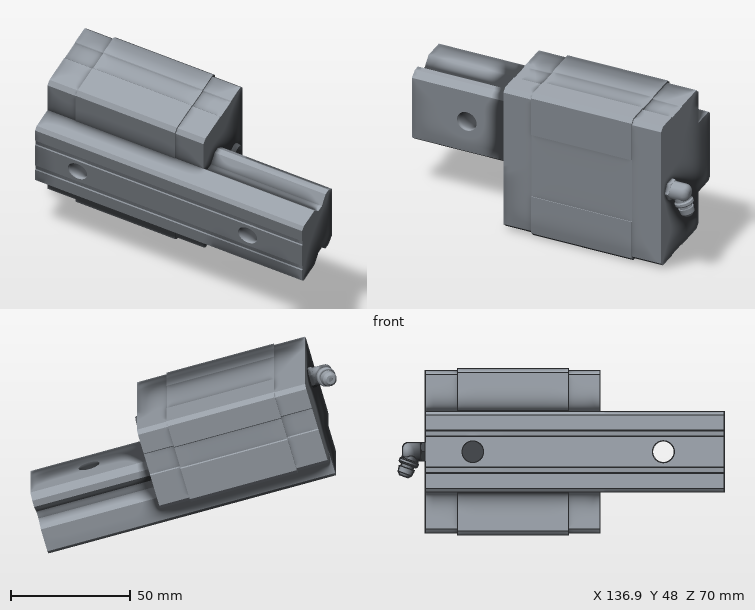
import cadquery as cq
import math


groove_depth = 0.4

rail_length = 125.6
rail_half_width = 17.0
rail_height = 27.7
rail_foot_chamfer = 1.5
flank_bottom = 11.5
waist_bottom = 15.2
waist_top = 18.4
waist_half_width = 13.0
head_bottom = 21.8
head_top = 24.7
rail_top_half_width = 14.7
foot_groove_inner = 6.3
foot_groove_outer = 9.2
bolt_hole_diameter = 9.0
first_bolt_x = 20.0
bolt_pitch = 80.0
bolt_count = 2

carriage_length = 73.4
left_cap_length = 13.5
steel_length = 46.7
steel_top = 48.0
steel_bottom = 11.0
steel_width = 70.0
corner_chamfer = 1.8
cap_top = 47.5
cap_bottom = flank_bottom
cap_width = 68.3
steel_groove_bottom = 26.7
cap_groove_bottom = 27.1
side_groove_height = 10.0
top_recess_half_width = 15.2
top_recess_depth = 0.3
rail_clearance = 0.4

port_height = 39.5
hex_across_flats = 8.0
hex_length = 1.9
hex_corner_chamfer = 0.5
elbow_diameter = 8.0
elbow_end_x = -9.6
elbow_round = 2.6
spout_x = -5.2
spout_tilt = 20.0
stem_diameter = 7.1
flange_diameter = 8.2
flange_start = 3.7
flange_end = 5.9
flange_bevel = 0.5
neck_diameter = 5.5
head_diameter = 6.7
head_start = 7.3
head_shoulder = 9.7
head_shoulder_diameter = 6.0
spout_length = 11.0
tip_diameter = 3.8
tip_hole_diameter = 1.9
tip_hole_depth = 0.7
plug_diameter = 8.0
plug_length = 2.0


def mirrored_profile(half_points):
    """Closed YZ wire sketch from (y, z) points of the +Z half, listed from bottom to top."""
    other_half = [(y, -z) for y, z in reversed(half_points)]
    return cq.Workplane("YZ").polyline(half_points + other_half).close()


def rail_half_outline():
    """(y, z) points of the +Z half of the rail's cross-section."""
    return [
        (0, rail_half_width - rail_foot_chamfer),
        (rail_foot_chamfer, rail_half_width),
        (flank_bottom, rail_half_width),
        (waist_bottom, waist_half_width),
        (waist_top, waist_half_width),
        (head_bottom, rail_half_width),
        (head_top, rail_half_width),
        (rail_height, rail_top_half_width),
    ]


def make_rail():
    """Guide rail with waisted sides, two grooves in its mounting face and a row of bolt holes."""
    rail = mirrored_profile(rail_half_outline()).extrude(rail_length)

    for side in (-1, 1):
        groove = (
            cq.Workplane("YZ")
            .polyline([
                (0, side * foot_groove_inner),
                (groove_depth, side * (foot_groove_inner + groove_depth)),
                (groove_depth, side * (foot_groove_outer - groove_depth)),
                (0, side * foot_groove_outer),
            ])
            .close()
            .extrude(rail_length)
        )
        rail = rail.cut(groove)

    for index in range(bolt_count):
        bolt_hole = (
            cq.Workplane("XZ", origin=(first_bolt_x + index * bolt_pitch, 0, 0))
            .circle(bolt_hole_diameter / 2)
            .extrude(-rail_height)
        )
        rail = rail.cut(bolt_hole)
    return rail


def grooved_block(start_x, length, bottom, top, width, groove_bottom):
    """Chamfered block with a shallow groove along each +-Z side."""
    groove_top = groove_bottom + side_groove_height
    half_width = width / 2
    groove_half_width = half_width - groove_depth
    outline = [
        (bottom, half_width - corner_chamfer),
        (bottom + corner_chamfer, half_width),
        (groove_bottom, half_width),
        (groove_bottom + groove_depth, groove_half_width),
        (groove_top - groove_depth, groove_half_width),
        (groove_top, half_width),
        (top - corner_chamfer, half_width),
        (top, half_width - corner_chamfer),
    ]
    return mirrored_profile(outline).extrude(length).translate((start_x, 0, 0))


def make_nipple():
    """Angled grease nipple standing on the -X face of the carriage."""
    port = cq.Workplane("YZ", origin=(0, port_height, 0))
    hex_across_corners = hex_across_flats / math.cos(math.pi / 6)
    hex_blank = (
        port.circle(hex_across_corners / 2)
        .extrude(-hex_length)
        .faces("<X")
        .chamfer(hex_corner_chamfer)
    )
    hexagon = port.polygon(6, hex_across_corners).extrude(-hex_length).intersect(hex_blank)
    elbow = port.circle(elbow_diameter / 2).extrude(elbow_end_x).faces("<X").edges().fillet(elbow_round)

    spout = (
        cq.Workplane("XY")
        .polyline([
            (0, 0),
            (stem_diameter / 2, 0),
            (stem_diameter / 2, flange_start),
            (flange_diameter / 2, flange_start + flange_bevel),
            (flange_diameter / 2, flange_end - flange_bevel),
            (flange_diameter / 2 - flange_bevel, flange_end),
            (neck_diameter / 2, flange_end),
            (neck_diameter / 2, head_start),
            (head_diameter / 2, head_start),
            (head_shoulder_diameter / 2, head_shoulder),
            (tip_diameter / 2, spout_length),
            (tip_hole_diameter / 2, spout_length),
            (tip_hole_diameter / 2, spout_length - tip_hole_depth),
            (0, spout_length - tip_hole_depth),
        ])
        .close()
        .revolve(360, (0, 0, 0), (0, 1, 0))
        .rotate((0, 0, 0), (1, 0, 0), -90)
        .rotate((0, 0, 0), (0, 1, 0), spout_tilt)
        .translate((spout_x, port_height, 0))
    )
    return hexagon.union(elbow).union(spout)


def make_plug():
    """Domed plug with a flat end, closing the grease port on the +X face of the carriage."""
    port = cq.Workplane("YZ", origin=(carriage_length, port_height, 0))
    return port.sphere(plug_diameter / 2).intersect(port.circle(plug_diameter / 2).extrude(plug_length))


def make_carriage():
    """Steel block between two slightly smaller end caps, with the nipple and the plug."""
    right_cap_start = left_cap_length + steel_length
    right_cap_length = carriage_length - right_cap_start

    steel = grooved_block(
        left_cap_length, steel_length, steel_bottom, steel_top, steel_width, steel_groove_bottom
    )
    top_recess = (
        cq.Workplane("YZ", origin=(left_cap_length, steel_top, 0))
        .rect(2 * top_recess_depth, 2 * top_recess_half_width)
        .extrude(steel_length)
    )
    clearance = (
        mirrored_profile(rail_half_outline())
        .offset2D(rail_clearance, "intersection")
        .extrude(steel_length)
        .translate((left_cap_length, 0, 0))
    )

    channel = mirrored_profile(rail_half_outline()).extrude(carriage_length)
    carriage = steel.cut(top_recess).cut(clearance)
    for start_x, length in ((0, left_cap_length), (right_cap_start, right_cap_length)):
        cap = grooved_block(start_x, length, cap_bottom, cap_top, cap_width, cap_groove_bottom)
        carriage = carriage.union(cap.cut(channel))
    return carriage.union(make_nipple()).union(make_plug())


rail = make_rail()
carriage = make_carriage()

result = cq.Compound.makeCompound([rail.solids().val(), carriage.solids().val()])